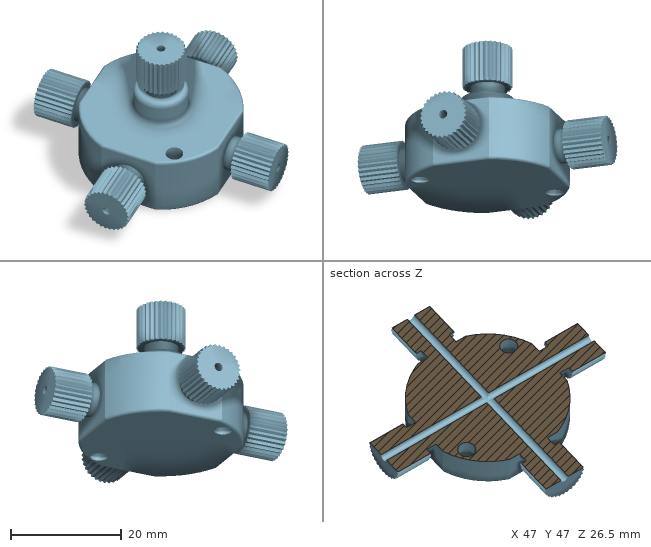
import math

import cadquery as cq

body_diameter = 30.0
across_flats = 28.0
flat_count = 4
body_height = 12.0
body_edge_radius = 0.5

boss_diameter = 10.0
boss_height = 5.0
boss_blend_radius = 1.0

neck_diameter = 6.4
neck_length = 2.0
knob_diameter = 9.0
knob_length = 7.5
tooth_count = 30
tooth_depth = 0.4
tooth_phase_angle = 3.0

port_diameter = 1.6
mounting_hole_diameter = 3.2
mounting_hole_count = 2
mounting_circle_radius = 12.7
mounting_hole_angle = 126.0

port_height = body_height / 2
side_face_distance = across_flats / 2
boss_top = body_height + boss_height
fitting_length = neck_length + knob_length
side_port_reach = side_face_distance + fitting_length


def make_body():
    """Disc cut by four flats, rounded along its top and bottom rims."""
    disc = cq.Workplane("XY").circle(body_diameter / 2).extrude(body_height)
    square = cq.Workplane("XY").rect(across_flats, across_flats).extrude(body_height)
    return disc.intersect(square).faces("<Z or >Z").edges().fillet(body_edge_radius)


def make_boss():
    """Round boss with a rounded rim and a concave foot, rooted inside the body."""
    radius = boss_diameter / 2
    blend = boss_blend_radius
    diagonal = blend * math.sqrt(0.5)
    foot_x, foot_z = radius + blend, body_height + blend
    rim_x, rim_z = radius - blend, boss_top - blend
    profile = (
        cq.Workplane("XZ")
        .moveTo(0, port_height)
        .lineTo(foot_x, port_height)
        .lineTo(foot_x, body_height)
        .threePointArc((foot_x - diagonal, foot_z - diagonal), (radius, foot_z))
        .lineTo(radius, rim_z)
        .threePointArc((rim_x + diagonal, rim_z + diagonal), (rim_x, boss_top))
        .lineTo(0, boss_top)
        .close()
    )
    return profile.revolve(360, (0, 0, 0), (0, 1, 0))


def make_fitting(plane_name):
    """Neck and serrated knob standing on the named plane, along its normal."""
    tip_radius = knob_diameter / 2
    root_radius = tip_radius - tooth_depth
    outline = []
    for half_step in range(2 * tooth_count):
        radius = tip_radius if half_step % 2 == 0 else root_radius
        angle = math.radians(tooth_phase_angle) + math.pi * half_step / tooth_count
        outline.append((radius * math.cos(angle), radius * math.sin(angle)))
    neck = cq.Workplane(plane_name).circle(neck_diameter / 2).extrude(neck_length)
    knob_start = cq.Workplane(plane_name).workplane(offset=neck_length)
    knob = knob_start.polyline(outline).close().extrude(knob_length)
    return neck.union(knob)


def make_side_fitting(index):
    """Fitting standing on one of the four flats."""
    placed = make_fitting("YZ").translate((side_face_distance, 0, port_height))
    return placed.rotate((0, 0, 0), (0, 0, 1), index * 360 / flat_count)


def make_port_bores():
    """Two bores crossing the whole part and a blind one through the upper fitting down to the boss."""
    along_x = cq.Workplane("YZ").center(0, port_height).circle(port_diameter / 2)
    along_y = cq.Workplane("XZ").center(0, port_height).circle(port_diameter / 2)
    upper = cq.Workplane("XY").workplane(offset=boss_top).circle(port_diameter / 2)
    bore_along_x = along_x.extrude(side_port_reach, both=True)
    bore_along_y = along_y.extrude(side_port_reach, both=True)
    return bore_along_x.union(bore_along_y).union(upper.extrude(fitting_length))


def make_mounting_holes():
    """Two through holes on opposite sides of the body axis."""
    return (
        cq.Workplane("XY")
        .polarArray(mounting_circle_radius, mounting_hole_angle, 360, mounting_hole_count)
        .circle(mounting_hole_diameter / 2)
        .extrude(body_height)
    )


result = make_body().union(make_boss())
result = result.union(make_fitting("XY").translate((0, 0, boss_top)))
for port_index in range(flat_count):
    result = result.union(make_side_fitting(port_index))
result = result.cut(make_port_bores()).cut(make_mounting_holes())